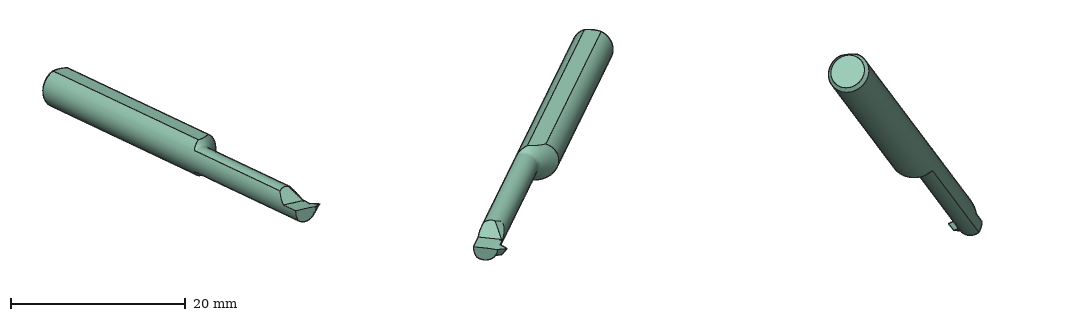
import cadquery as cq
import math

length = 50.8
shank_radius = 2.4
flat_height = 2.2
end_chamfer = 0.4

neck_radius = 1.6
neck_y = -1.1
neck_start = 30.0
shoulder_fillet = 0.6
cone_end_radius = 2 * shank_radius

land_z = 0.0
land_start = 48.35
ramp_start = 46.9

tooth_tip_x = 50.15
tooth_tip_y = 1.5
tooth_rear_x = 49.45
tooth_root_y = 0.35
tooth_bottom = -1.0
tooth_relief_angle = 20.0

rake_angle = 4.0
rake_hinge_start = cq.Vector(48.4, 0.3, land_z)
rake_hinge_end = cq.Vector(length, -0.5, land_z)

gullet_crest = cq.Vector(46.95, -0.7, 1.5)
gullet_rear = cq.Vector(46.4, 0.0, 1.1)
gullet_foot = cq.Vector(48.35, 0.35, land_z)


def make_space_above(origin, along, normal):
    """Large block resting on the plane through origin, on the side of its normal."""
    plane = cq.Plane(origin=origin, xDir=along, normal=normal)
    return cq.Workplane(plane).rect(length, length).extrude(length)


def make_shank():
    """Full-length round bar, chamfered at the rear, with a flat on top."""
    bar = cq.Workplane("YZ").circle(shank_radius).extrude(length)
    bar = bar.faces("<X").chamfer(end_chamfer)
    flat_cut = cq.Workplane("XY").workplane(offset=flat_height).rect(
        2 * length, 2 * shank_radius).extrude(shank_radius)
    return bar.cut(flat_cut)


def make_neck_envelope():
    """Body of revolution about the neck axis: wide, conical shoulder, then neck."""
    cone_start = neck_start - (cone_end_radius - neck_radius)
    profile = (
        cq.Workplane("XY")
        .moveTo(0, neck_y)
        .lineTo(0, neck_y + cone_end_radius)
        .lineTo(cone_start, neck_y + cone_end_radius)
        .lineTo(neck_start, neck_y + neck_radius)
        .lineTo(length, neck_y + neck_radius)
        .lineTo(length, neck_y)
        .close()
    )
    body = profile.revolve(360, (0, neck_y, 0), (1, neck_y, 0))
    root = body.edges("%CIRCLE").edges(
        cq.selectors.NearestToPointSelector((neck_start, neck_y, 0)))
    return root.fillet(shoulder_fillet)


def make_tip_cut():
    """Material removed above the land and its sloping ramp."""
    slope = (land_start - ramp_start) / (neck_radius - land_z)
    top = shank_radius
    return (
        cq.Workplane("XZ")
        .polyline([
            (land_start, land_z),
            (2 * length, land_z),
            (2 * length, top),
            (land_start - slope * (top - land_z), top),
        ])
        .close()
        .extrude(shank_radius, both=True)
    )


def make_tooth():
    """Pointed cutting tooth on the +Y side of the tip."""
    return (
        cq.Workplane("XY", origin=(0, 0, land_z))
        .polyline([
            (tooth_rear_x, neck_y),
            (tooth_rear_x, tooth_root_y),
            (tooth_tip_x, tooth_tip_y),
            (length, tooth_root_y),
            (length, neck_y),
        ])
        .close()
        .extrude(tooth_bottom - land_z, taper=tooth_relief_angle)
    )


def make_rake_cut():
    """Space above the tilted rake face and outside the gullet face."""
    hinge = rake_hinge_end - rake_hinge_start
    up = cq.Vector(0, 0, 1)
    outward = up.cross(hinge).normalized()
    rake_normal = up + outward * math.tan(math.radians(rake_angle))
    gullet_edge = gullet_foot - gullet_crest
    gullet_normal = gullet_edge.cross(gullet_rear - gullet_crest)
    above_rake = make_space_above(rake_hinge_start, hinge, rake_normal)
    outside_gullet = make_space_above(gullet_crest, gullet_edge, gullet_normal)
    return above_rake.intersect(outside_gullet)


result = make_shank().intersect(make_neck_envelope()).cut(make_tip_cut())
result = result.union(make_tooth())
result = result.cut(make_rake_cut())